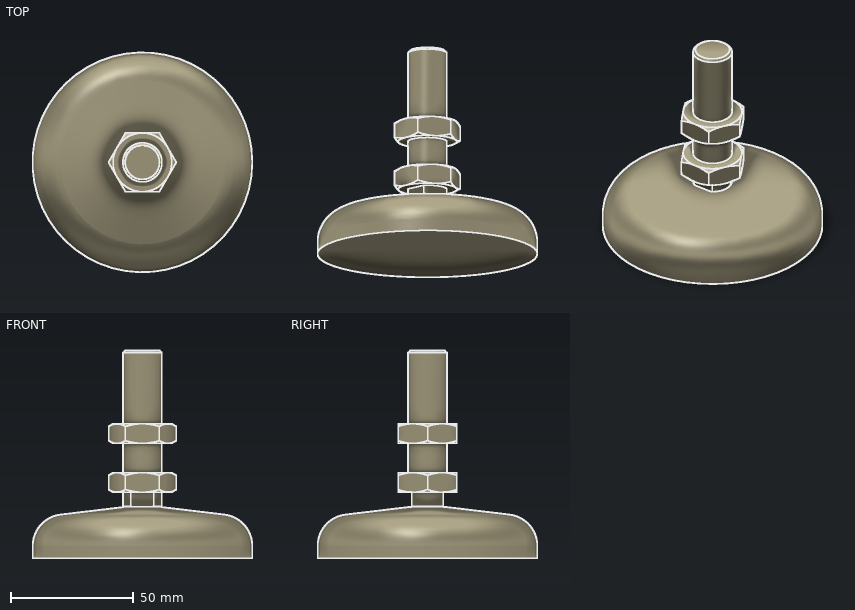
import cadquery as cq
import math

pad_radius = 45.0
rim_height = 5.0
shoulder_radius = 13.0
pad_top_height = 21.0

stem_diameter = 16.0
stem_radius = stem_diameter / 2
total_height = 85.0
tip_chamfer = 1.0
foot_chamfer = 0.3
wrench_flat_width = 13.0

nut_across_flats = 24.0
nut_thickness = 8.0
nut_bottoms = (27.0, 47.0)
nut_chamfer_angle = math.radians(30.0)


def revolve_profile(profile):
    """Turn a closed half-profile, drawn as radius and height, about the Z axis."""
    return profile.close().revolve(360, (0, 0, 0), (0, 1, 0))


def make_pad():
    """Round pad: straight rim, rounded shoulder and a shallow cone tangent to the shoulder."""
    center_radius = pad_radius - shoulder_radius
    cone_top_radius = stem_radius - foot_chamfer

    def shoulder_point(angle):
        return (
            center_radius + shoulder_radius * math.cos(angle),
            rim_height + shoulder_radius * math.sin(angle),
        )

    top_offset = cone_top_radius - center_radius
    top_rise = pad_top_height - rim_height
    top_direction = math.atan2(top_rise, top_offset)
    tangent_angle = top_direction - math.acos(shoulder_radius / math.hypot(top_offset, top_rise))

    profile = (
        cq.Workplane("XZ")
        .lineTo(pad_radius, 0)
        .lineTo(pad_radius, rim_height)
        .threePointArc(shoulder_point(tangent_angle / 2), shoulder_point(tangent_angle))
        .lineTo(cone_top_radius, pad_top_height)
        .lineTo(0, pad_top_height)
    )
    return revolve_profile(profile)


def make_stem():
    """Stem chamfered at both ends, with two wrench flats between the pad and the lower nut."""
    flats_height = nut_bottoms[0] - pad_top_height
    wrench_section = (
        cq.Workplane("XY", origin=(0, 0, pad_top_height))
        .circle(stem_radius)
        .extrude(flats_height)
        .faces("<Z")
        .chamfer(foot_chamfer)
        .intersect(
            cq.Workplane("XY", origin=(0, 0, pad_top_height))
            .rect(stem_diameter, wrench_flat_width)
            .extrude(flats_height)
        )
    )
    shank = (
        cq.Workplane("XY", origin=(0, 0, nut_bottoms[0]))
        .circle(stem_radius)
        .extrude(total_height - nut_bottoms[0])
        .faces(">Z")
        .chamfer(tip_chamfer)
    )
    return wrench_section.union(shank)


def make_nut(bottom):
    """Hexagon nut with corners on the X axis, its corners turned conical at both ends."""
    corner_radius = nut_across_flats / math.sqrt(3)
    face_radius = nut_across_flats / 2
    chamfer_height = (corner_radius - face_radius) * math.tan(nut_chamfer_angle)
    top = bottom + nut_thickness

    hexagon = (
        cq.Workplane("XY", origin=(0, 0, bottom))
        .polygon(6, 2 * corner_radius)
        .extrude(nut_thickness)
    )
    turned_blank = revolve_profile(
        cq.Workplane("XZ")
        .moveTo(0, bottom)
        .lineTo(face_radius, bottom)
        .lineTo(corner_radius, bottom + chamfer_height)
        .lineTo(corner_radius, top - chamfer_height)
        .lineTo(face_radius, top)
        .lineTo(0, top)
    )
    return hexagon.intersect(turned_blank)


result = make_pad().union(make_stem())
for nut_bottom in nut_bottoms:
    result = result.union(make_nut(nut_bottom))